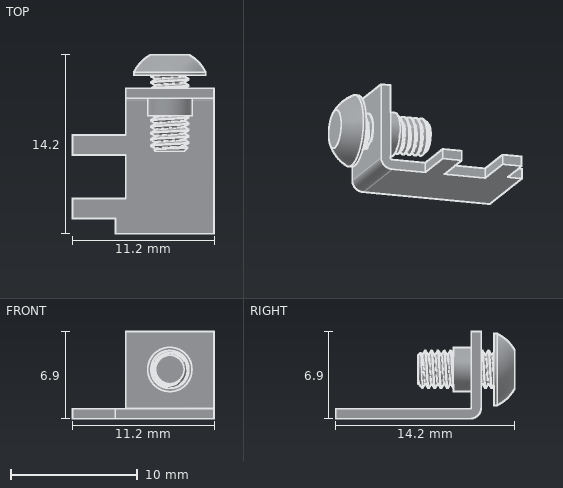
import cadquery as cq
import math

sheet = 0.8
plate_width = 7.0
base_length = 11.5
bracket_height = 6.9
bend_inner_radius = 0.1
bend_outer_radius = bend_inner_radius + sheet

tab_reach = 4.2
tab_width = 1.6
tab_pitch = 5.0
front_tab_start = 1.2
front_strip_reach = 0.8

collar_diameter = 3.5
collar_length = 1.4
axis_below_top = 3.0
axis_x = plate_width / 2
axis_z = bracket_height - axis_below_top
flange_front_y = base_length - sheet

thread_diameter = 3.0
thread_pitch = 0.5
thread_root_diameter = 2.35
thread_crest_width = thread_pitch / 8
thread_root_width = thread_pitch / 8
flank_curve_points = 8
first_crest_offset = 0.05
shank_length = 6.0
tip_diameter = 2.25
head_diameter = 5.7
head_height = 1.65
head_rim_height = 0.25
head_flat_diameter = 3.05
head_gap = 1.0


def make_bent_sheet():
    """L-shaped sheet with a rounded bend, extruded across the plate width."""
    bend_y = base_length - bend_outer_radius
    bend_z = bend_outer_radius
    cos45 = math.cos(math.radians(45))
    outer_mid = (bend_y + bend_outer_radius * cos45, bend_z - bend_outer_radius * cos45)
    inner_mid = (bend_y + bend_inner_radius * cos45, bend_z - bend_inner_radius * cos45)
    return (
        cq.Workplane("YZ")
        .moveTo(0, 0)
        .lineTo(bend_y, 0)
        .threePointArc(outer_mid, (base_length, bend_z))
        .lineTo(base_length, bracket_height)
        .lineTo(flange_front_y, bracket_height)
        .lineTo(flange_front_y, bend_z)
        .threePointArc(inner_mid, (bend_y, sheet))
        .lineTo(0, sheet)
        .close()
        .extrude(plate_width)
    )


def make_side_strip(reach, start_y, width):
    """Flat strip of sheet that sticks out of the base toward -X."""
    return cq.Workplane("XY").box(reach, width, sheet, centered=False).translate((-reach, start_y, 0))


def make_bracket():
    """Bent sheet with two tabs, a front strip and a collar, before the screw hole is cut."""
    bracket = make_bent_sheet()
    bracket = bracket.union(make_side_strip(front_strip_reach, 0, front_tab_start))
    for index in range(2):
        tab_start = front_tab_start + index * tab_pitch
        bracket = bracket.union(make_side_strip(tab_reach, tab_start, tab_width))

    collar_plane = cq.Plane(origin=(axis_x, flange_front_y, axis_z), xDir=(1, 0, 0), normal=(0, -1, 0))
    collar = cq.Workplane(collar_plane).circle(collar_diameter / 2).extrude(collar_length)
    return bracket.union(collar)


def make_threaded_rod():
    """Right-handed threaded rod along local +Z, made by twisting its cross-section one turn per pitch.

    Across the axis the thread is a cam: a crest arc, a root arc and two spirals for the flanks.
    """
    root_radius = thread_root_diameter / 2
    crest_radius = thread_diameter / 2
    crest_half_angle = math.pi * thread_crest_width / thread_pitch
    root_half_angle = math.pi * thread_root_width / thread_pitch
    flank_angle = math.pi - crest_half_angle - root_half_angle

    def flank_point(fraction, side):
        radius = crest_radius + (root_radius - crest_radius) * fraction
        angle = side * (crest_half_angle + flank_angle * fraction)
        return (radius * math.cos(angle), radius * math.sin(angle))

    steps = range(1, flank_curve_points + 1)
    falling_flank = [flank_point(step / flank_curve_points, 1) for step in steps]
    rising_flank = [flank_point(1 - step / flank_curve_points, -1) for step in steps]
    cross_section = (
        cq.Workplane("XY")
        .moveTo(*flank_point(0, -1))
        .threePointArc((crest_radius, 0), flank_point(0, 1))
        .spline(falling_flank, includeCurrent=True)
        .threePointArc((-root_radius, 0), flank_point(1, -1))
        .spline(rising_flank, includeCurrent=True)
        .close()
    )
    turn_angle = 360 * shank_length / thread_pitch
    start_angle = -360 * first_crest_offset / thread_pitch
    rod = cross_section.twistExtrude(shank_length, turn_angle)
    return rod.rotate((0, 0, 0), (0, 0, 1), start_angle)


def make_tip_envelope():
    """Cylinder wider than the thread, ending in a 45 degree cone that chamfers the tip."""
    tip_radius = tip_diameter / 2
    envelope_radius = thread_diameter
    cone_length = envelope_radius - tip_radius
    return (
        cq.Workplane("XY")
        .circle(envelope_radius)
        .extrude(shank_length)
        .faces(">Z")
        .chamfer(cone_length)
    )


def make_head():
    """Button head below local Z = 0: a short rim, then a spherical dome with a flat top."""
    head_radius = head_diameter / 2
    flat_radius = head_flat_diameter / 2
    dome_height = head_height - head_rim_height
    centre = (flat_radius**2 + dome_height**2 - head_radius**2) / (2 * dome_height)
    dome_radius = math.hypot(head_radius, centre)
    rim_angle = math.atan2(-centre, head_radius)
    flat_angle = math.atan2(dome_height - centre, flat_radius)
    mid_angle = (rim_angle + flat_angle) / 2
    dome_mid = (
        dome_radius * math.cos(mid_angle),
        -head_rim_height - centre - dome_radius * math.sin(mid_angle),
    )
    return (
        cq.Workplane("XZ")
        .moveTo(0, 0)
        .lineTo(head_radius, 0)
        .lineTo(head_radius, -head_rim_height)
        .threePointArc(dome_mid, (flat_radius, -head_height))
        .lineTo(0, -head_height)
        .close()
        .revolve(360, (0, 0, 0), (0, 1, 0))
    )


def make_screw():
    """Threaded screw with its axis along -Y and its head behind the flange."""
    shank = make_threaded_rod().intersect(make_tip_envelope())
    screw = shank.union(make_head())
    seat = cq.Plane(
        origin=(axis_x, base_length + head_gap, axis_z), xDir=(-1, 0, 0), normal=(0, -1, 0)
    )
    return cq.Workplane(obj=screw.val().moved(cq.Location(seat)))


screw = make_screw()
bracket = make_bracket().cut(screw)

result = cq.Compound.makeCompound([*bracket.vals(), *screw.vals()])